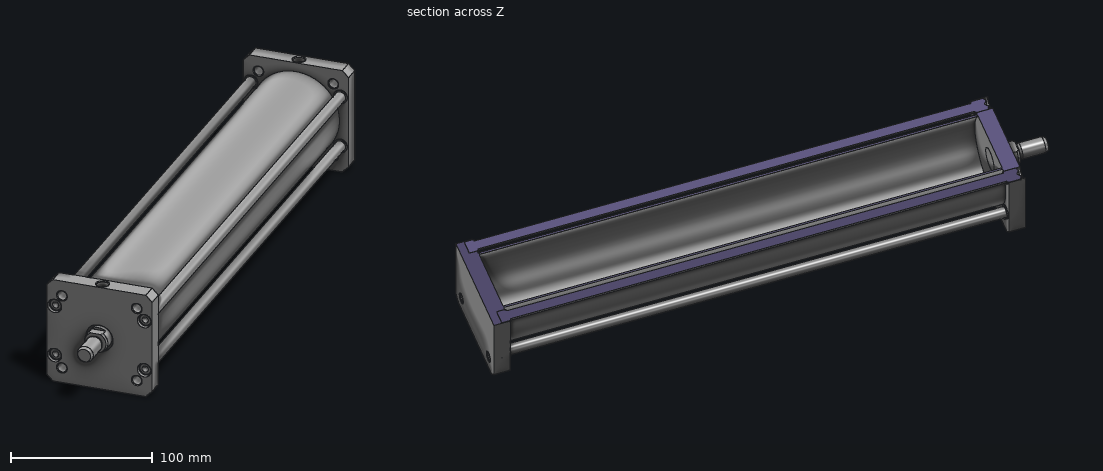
import cadquery as cq

TOTAL_LENGTH = 429.0
ROD_PROTRUSION = 30.0

PLATE_SIZE = 80.0
PLATE_THICKNESS = 12.5
PLATE_CHAMFER = 4.7
MOUNT_HOLE_DIAMETER = 7.0
MOUNT_HOLE_RIM_DIAMETER = 8.0
MOUNT_HOLE_OFFSET = 28.5
PORT_DIAMETER = 8.5
PORT_RIM_DIAMETER = 10.0
PORT_DEPTH = 7.0
PORT_RIDGE_DIAMETER = 6.5

BARREL_DIAMETER = 66.0
BORE_DIAMETER = 63.0

TIE_ROD_DIAMETER = 8.0
TIE_ROD_X = 34.0
TIE_ROD_Z = 19.5
TIE_ROD_END_DIAMETER = 10.5
TIE_ROD_COLLAR_HEIGHT = 1.0
TIE_ROD_SEAT_DEPTH = 6.0
HEAD_RECESS = 2.0
HEAD_BOSS_DIAMETER = 8.5
HEAD_BOSS_HEIGHT = 1.0
HEAD_DIMPLE_DIAMETER = 4.7
HEAD_DIMPLE_DEPTH = 2.0

ROD_DIAMETER = 17.5
ROD_RECESS_DIAMETER = 20.5
ROD_RECESS_DEPTH = 2.0
FLAT_START = 1.5
ACROSS_FLATS = 14.0
SHOULDER_LENGTH = 7.7
SHOULDER_END_DIAMETER = 16.0
SHOULDER_TAPER = 1.7
NECK_DIAMETER = 10.0
NECK_LENGTH = 1.0
THREAD_DIAMETER = 12.0
THREAD_RUNOUT = 1.7
TIP_DIAMETER = 10.0
TIP_TAPER = 2.5

ROD_TIP_Y = -TOTAL_LENGTH / 2
REAR_Y = TOTAL_LENGTH / 2
FRONT_Y = ROD_TIP_Y + ROD_PROTRUSION
BARREL_FRONT_Y = FRONT_Y + PLATE_THICKNESS
BARREL_REAR_Y = REAR_Y - PLATE_THICKNESS
TIE_ROD_REAR_Y = BARREL_REAR_Y + TIE_ROD_SEAT_DEPTH


def turned(stations, x=0.0, z=0.0):
    """Solid of revolution about a line parallel to Y through (x, z); stations are (diameter, y)."""
    outline = [(diameter / 2, y) for diameter, y in stations]
    outline = [(0, stations[0][1])] + outline + [(0, stations[-1][1])]
    solid = cq.Workplane("XY").polyline(outline).close().revolve(360, (0, 0, 0), (0, 1, 0))
    return solid.translate((x, 0, z))


def cylinder(diameter, y_start, y_end, x=0.0, z=0.0):
    return turned([(diameter, y_start), (diameter, y_end)], x, z)


def four_places(x, z):
    return [(side * x, level * z) for side in (-1, 1) for level in (-1, 1)]


MOUNT_HOLE_PLACES = four_places(MOUNT_HOLE_OFFSET, MOUNT_HOLE_OFFSET)
TIE_ROD_PLACES = four_places(TIE_ROD_X, TIE_ROD_Z)


def mount_hole(y_start, x, z):
    """Through hole with a small chamfer at both faces of the plate."""
    y_end = y_start + PLATE_THICKNESS
    rim = (MOUNT_HOLE_RIM_DIAMETER - MOUNT_HOLE_DIAMETER) / 2
    stations = [
        (MOUNT_HOLE_RIM_DIAMETER, y_start),
        (MOUNT_HOLE_DIAMETER, y_start + rim),
        (MOUNT_HOLE_DIAMETER, y_end - rim),
        (MOUNT_HOLE_RIM_DIAMETER, y_end),
    ]
    return turned(stations, x, z)


def air_port(y_start):
    """Chamfered blind hole in the top side, with a rounded ridge along Y left on its floor."""
    y_end = y_start + PLATE_THICKNESS
    top_z = PLATE_SIZE / 2
    floor_z = top_z - PORT_DEPTH
    rim = (PORT_RIM_DIAMETER - PORT_DIAMETER) / 2
    outline = [
        (0, top_z),
        (PORT_RIM_DIAMETER / 2, top_z),
        (PORT_DIAMETER / 2, top_z - rim),
        (PORT_DIAMETER / 2, floor_z),
        (0, floor_z),
    ]
    hole = cq.Workplane("XZ").polyline(outline).close().revolve(360, (0, 0, 0), (0, 1, 0))
    hole = hole.translate((0, (y_start + y_end) / 2, 0))
    return hole.cut(cylinder(PORT_RIDGE_DIAMETER, y_start, y_end, z=floor_z))


def make_plate(y_start):
    """Square end plate with the features both ends share."""
    plate = cq.Workplane("XY").box(PLATE_SIZE, PLATE_THICKNESS, PLATE_SIZE)
    plate = plate.edges("|Y").chamfer(PLATE_CHAMFER)
    plate = plate.translate((0, y_start + PLATE_THICKNESS / 2, 0))
    for x, z in MOUNT_HOLE_PLACES:
        plate = plate.cut(mount_hole(y_start, x, z))
    return plate.cut(air_port(y_start))


def make_front_plate():
    plate = make_plate(FRONT_Y)
    plate = plate.cut(cylinder(ROD_DIAMETER, FRONT_Y, BARREL_FRONT_Y))
    plate = plate.cut(cylinder(ROD_RECESS_DIAMETER, FRONT_Y, FRONT_Y + ROD_RECESS_DEPTH))
    for x, z in TIE_ROD_PLACES:
        plate = plate.cut(cylinder(TIE_ROD_END_DIAMETER, FRONT_Y, BARREL_FRONT_Y, x, z))
    return plate


def make_rear_plate():
    plate = make_plate(BARREL_REAR_Y)
    for x, z in TIE_ROD_PLACES:
        plate = plate.cut(cylinder(TIE_ROD_END_DIAMETER, BARREL_REAR_Y, TIE_ROD_REAR_Y, x, z))
    return plate


def make_barrel():
    bore = cylinder(BORE_DIAMETER, BARREL_FRONT_Y, BARREL_REAR_Y)
    return cylinder(BARREL_DIAMETER, BARREL_FRONT_Y, BARREL_REAR_Y).cut(bore)


def make_tie_rod(x, z):
    """Rod with thicker ends that sit in the plates and stand slightly proud of their inner faces."""
    head_y = FRONT_Y + HEAD_RECESS
    boss_base_y = head_y + HEAD_BOSS_HEIGHT
    front_collar_y = BARREL_FRONT_Y + TIE_ROD_COLLAR_HEIGHT
    rear_collar_y = BARREL_REAR_Y - TIE_ROD_COLLAR_HEIGHT
    stations = [
        (HEAD_BOSS_DIAMETER, head_y),
        (HEAD_BOSS_DIAMETER, boss_base_y),
        (TIE_ROD_END_DIAMETER, boss_base_y),
        (TIE_ROD_END_DIAMETER, front_collar_y),
        (TIE_ROD_DIAMETER, front_collar_y),
        (TIE_ROD_DIAMETER, rear_collar_y),
        (TIE_ROD_END_DIAMETER, rear_collar_y),
        (TIE_ROD_END_DIAMETER, TIE_ROD_REAR_Y),
    ]
    dimple_start = cq.Vector(x, head_y, z)
    dimple = cq.Solid.makeCone(
        HEAD_DIMPLE_DIAMETER / 2, 0, HEAD_DIMPLE_DEPTH, dimple_start, cq.Vector(0, 1, 0)
    )
    return turned(stations, x, z).cut(cq.Workplane(obj=dimple))


def make_piston_rod():
    """Rod with a shoulder that has two wrench flats, then a neck and a tapered thread end."""
    shoulder_y = FRONT_Y - SHOULDER_LENGTH
    neck_y = shoulder_y - NECK_LENGTH
    stations = [
        (TIP_DIAMETER, ROD_TIP_Y),
        (THREAD_DIAMETER, ROD_TIP_Y + TIP_TAPER),
        (THREAD_DIAMETER, neck_y - THREAD_RUNOUT),
        (NECK_DIAMETER, neck_y),
        (NECK_DIAMETER, shoulder_y),
        (SHOULDER_END_DIAMETER, shoulder_y),
        (ROD_DIAMETER, shoulder_y + SHOULDER_TAPER),
        (ROD_DIAMETER, BARREL_FRONT_Y),
    ]
    rod = turned(stations)
    flat_length = SHOULDER_LENGTH - FLAT_START
    cutter = cq.Workplane("XY").box(ROD_DIAMETER, flat_length, ROD_DIAMETER)
    cutter_z = (ACROSS_FLATS + ROD_DIAMETER) / 2
    for side in (-1, 1):
        rod = rod.cut(cutter.translate((0, shoulder_y + flat_length / 2, side * cutter_z)))
    return rod


barrel = make_barrel()
front_plate = make_front_plate()
rear_plate = make_rear_plate()
piston_rod = make_piston_rod()
tie_rods = [make_tie_rod(x, z) for x, z in TIE_ROD_PLACES]

result = cq.Compound.makeCompound([
    barrel.val(),
    front_plate.val(),
    rear_plate.val(),
    piston_rod.val(),
    *[tie_rod.val() for tie_rod in tie_rods],
])